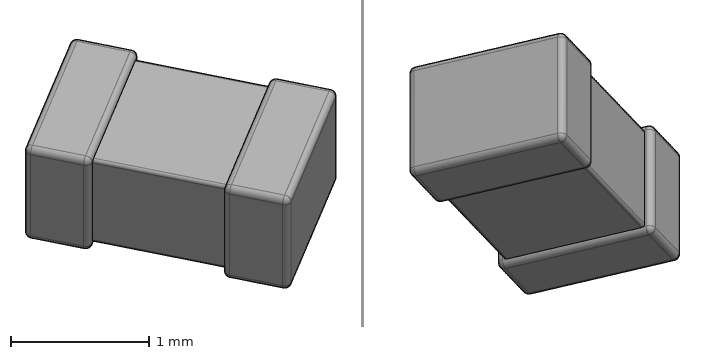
import cadquery as cq

length = 2.0
width = 1.25
height = 0.9

cap_length = length / 4
cap_fillet = 0.05

body_scale = 0.9
body_width = width * body_scale
body_height = height * body_scale
body_fillet = cap_fillet / 2


def end_cap(side):
    """Terminal block with all edges rounded; side is -1 or 1 along X."""
    center_x = side * (length - cap_length) / 2
    cap = cq.Workplane("XY").box(cap_length, width, height).edges().fillet(cap_fillet)
    return cap.translate((center_x, 0, 0))


body_length = length - cap_length
body = cq.Workplane("XY").box(body_length, body_width, body_height).edges("|X").fillet(body_fillet)

result = body
for side in (-1, 1):
    result = result.union(end_cap(side))